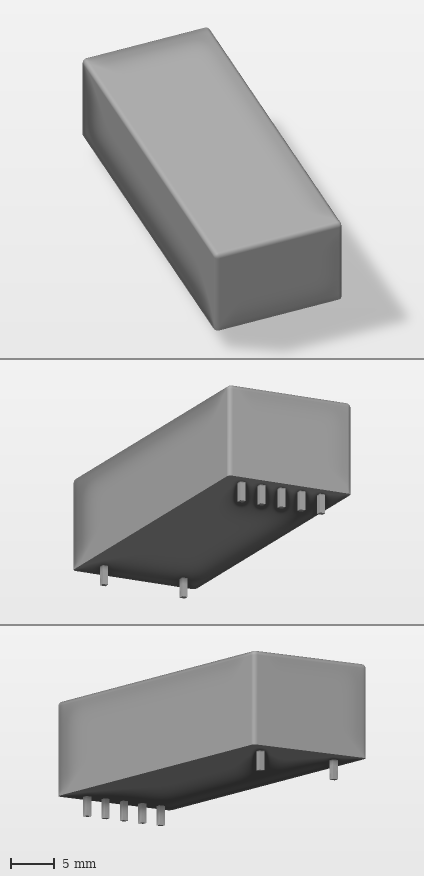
import cadquery as cq

HOUSING_LENGTH = 39.6
HOUSING_WIDTH = 15.7
OVERALL_HEIGHT = 13.2
EDGE_RADIUS = 0.5

PIN_SIDE = 0.67
PIN_LENGTH = 2.25
PIN_PITCH = 2.55
PIN_COUNT = 5
LEFT_ROW_X = -18.0
RIGHT_ROW_X = 16.75
ROW_CENTER_Y = 0.25

HOUSING_HEIGHT = OVERALL_HEIGHT - PIN_LENGTH


def make_housing():
    """Block standing on Z = 0, with rounded upright and top edges and a flat base."""
    block = cq.Workplane("XY").box(
        HOUSING_LENGTH, HOUSING_WIDTH, HOUSING_HEIGHT, centered=(True, True, False)
    )
    return block.edges("|Z or >Z").fillet(EDGE_RADIUS)


def make_pin(x, y):
    """Square pin hanging from the housing base."""
    return cq.Workplane("XY").center(x, y).rect(PIN_SIDE, PIN_SIDE).extrude(-PIN_LENGTH)


half_row = (PIN_COUNT - 1) / 2
row_y = [ROW_CENTER_Y + (i - half_row) * PIN_PITCH for i in range(PIN_COUNT)]
pin_places = [(LEFT_ROW_X, y) for y in row_y]
pin_places += [(RIGHT_ROW_X, y) for y in (row_y[0], row_y[-1])]

housing = make_housing()
pins = [make_pin(x, y) for x, y in pin_places]

result = cq.Compound.makeCompound([housing.val(), *[pin.val() for pin in pins]])